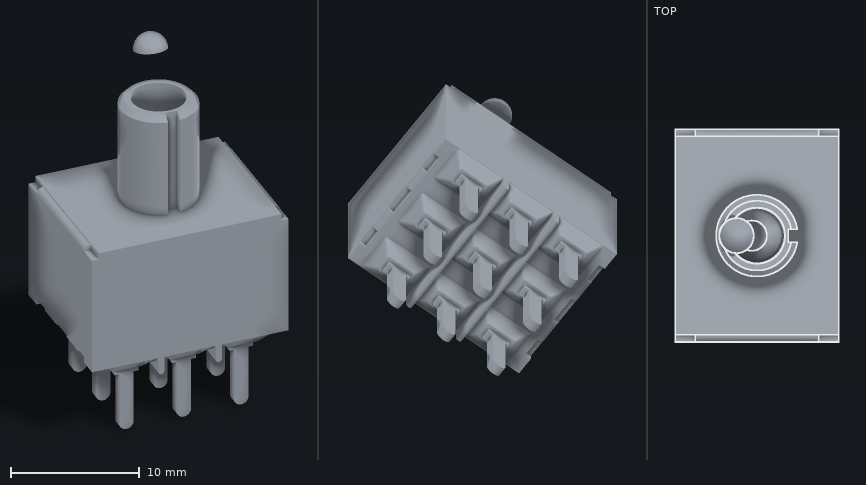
import cadquery as cq
import math

CASE_X = 12.7
CASE_Y = 16.5
CASE_TOP = 10.6
BRACKET_THICKNESS = 0.55
BLOCK_TOP = CASE_TOP - BRACKET_THICKNESS
PLATE_Y = CASE_Y - 2 * BRACKET_THICKNESS
LEG_WIDTH = 9.58
BEND_DROP = 0.1
TAB_CENTER_X = 2.15
TAB_WIDTH = 1.95

BUSHING_DIAMETER = 6.35
BUSHING_TOP = 19.45
BUSHING_CHAMFER = 0.45
BORE_DIAMETER = 4.35
KEYWAY_WIDTH = 1.0
KEYWAY_FLOOR_X = 2.45

LEVER_TILT = 12.4
BALL_DIAMETER = 4.3
BALL_CENTER_Z = 15.75
DISH_DIAMETER = 2.35
TIP_DIAMETER = 2.72
TIP_TOP = 24.33

TERMINALS_PER_SIDE = 3
PITCH_X = 4.7
PITCH_Y = 4.82
PIN_X = 0.8
PIN_Y = 1.2
PIN_LENGTH = 6.58
SHOULDER_Y = 2.0
SHOULDER_DEPTH = 1.5

MOUND_X = 3.2
MOUND_Y = 4.4
MOUND_HEIGHT = 1.0
MOUND_TAPER = 42
MOUND_CORNER = 0.3

FIN_THICKNESS = 0.5
FIN_DEPTH = 1.5


def box_between(x_size, y_size, z_low, z_high):
    """Box centred on the Z axis between two heights."""
    return cq.Workplane("XY").workplane(offset=z_low).rect(x_size, y_size).extrude(z_high - z_low)


def case_block():
    """Block with a recess across each Y face for the bracket legs."""
    block = box_between(CASE_X, CASE_Y, 0, BLOCK_TOP)
    for side in (-1, 1):
        recess = box_between(LEG_WIDTH, BRACKET_THICKNESS, 0, BLOCK_TOP)
        block = block.cut(recess.translate((0, side * (CASE_Y - BRACKET_THICKNESS) / 2, 0)))
    return block


def bracket():
    """Plate over the block and legs down its Y faces, each leg with two rounded lower tabs."""
    strip = box_between(LEG_WIDTH, CASE_Y, BRACKET_THICKNESS, CASE_TOP - BEND_DROP)
    strip = strip.edges("|X and >Z").fillet(BRACKET_THICKNESS)
    for side in (-1, 1):
        tab = box_between(TAB_WIDTH, CASE_Y, 0, BLOCK_TOP - BRACKET_THICKNESS)
        tab = tab.edges("|X and <Z").fillet(BRACKET_THICKNESS)
        strip = strip.union(tab.translate((side * TAB_CENTER_X, 0, 0)))
    plate = box_between(CASE_X, PLATE_Y, BLOCK_TOP, CASE_TOP)
    return strip.cut(box_between(LEG_WIDTH, PLATE_Y, 0, BLOCK_TOP)).union(plate)


def bushing():
    """Chamfered cylinder with a keyway down its +X side."""
    barrel = (
        cq.Workplane("XY")
        .workplane(offset=CASE_TOP)
        .circle(BUSHING_DIAMETER / 2)
        .extrude(BUSHING_TOP - CASE_TOP)
        .faces(">Z")
        .chamfer(BUSHING_CHAMFER)
    )
    keyway = box_between(BUSHING_DIAMETER, KEYWAY_WIDTH, CASE_TOP, BUSHING_TOP)
    return barrel.cut(keyway.translate((KEYWAY_FLOOR_X + BUSHING_DIAMETER / 2, 0, 0)))


def bore():
    """Blind bore that ends level with the centre of the ball."""
    depth = BUSHING_TOP - BALL_CENTER_Z
    return cq.Workplane("XY").workplane(offset=BALL_CENTER_Z).circle(BORE_DIAMETER / 2).extrude(depth)


def on_lever_axis(shape):
    """Move a shape modelled about the origin on to the tilted lever axis."""
    tilted = shape.rotate((0, 0, 0), (0, 1, 0), -LEVER_TILT)
    return tilted.translate((0, 0, BALL_CENTER_Z))


def lever_ball():
    """Ball with a shallow dish facing the lever tip, as deep below its rim as the ball rose above it."""
    ball_radius = BALL_DIAMETER / 2
    dish_radius = DISH_DIAMETER / 2
    rim_height = math.sqrt(ball_radius**2 - dish_radius**2)
    ball = cq.Workplane("XY").sphere(ball_radius)
    dish = ball.translate((0, 0, 2 * rim_height))
    return on_lever_axis(ball.cut(dish))


def resin_mound():
    """Rectangular mound that narrows downwards, with its sloping corner edges rounded."""
    mound = cq.Workplane("XY").rect(MOUND_X, MOUND_Y).extrude(-MOUND_HEIGHT, taper=MOUND_TAPER)
    return mound.edges("not(|X or |Y)").fillet(MOUND_CORNER)


def terminal():
    """Mound, shoulder and flat pin with a fully rounded end."""
    shoulder = box_between(PIN_X, SHOULDER_Y, -SHOULDER_DEPTH, 0)
    tip_radius = PIN_Y / 2
    tip_start = -PIN_LENGTH + tip_radius
    pin = box_between(PIN_X, PIN_Y, tip_start, 0)
    tip = cq.Workplane("YZ").center(0, tip_start).circle(tip_radius).extrude(PIN_X / 2, both=True)
    return resin_mound().union(shoulder).union(pin).union(tip)


def barrier_fin():
    """Fin along X with a fully rounded lower edge."""
    edge_radius = FIN_THICKNESS / 2
    edge_z = -FIN_DEPTH + edge_radius
    edge = cq.Workplane("YZ").center(0, edge_z).circle(edge_radius).extrude(CASE_X / 2, both=True)
    return box_between(CASE_X, FIN_THICKNESS, edge_z, 0).union(edge)


def block_with_terminals():
    """Case block with the terminal grid and the fins on its underside."""
    block = case_block()
    middle = (TERMINALS_PER_SIDE - 1) / 2
    for column in range(TERMINALS_PER_SIDE):
        for row in range(TERMINALS_PER_SIDE):
            place = ((column - middle) * PITCH_X, (row - middle) * PITCH_Y, 0)
            block = block.union(terminal().translate(place))
    for side in (-1, 1):
        block = block.union(barrier_fin().translate((0, side * PITCH_Y / 2, 0)))
    return block


def switch_body():
    """Block, bracket, bushing and ball as one solid; clean=False keeps the seams round the bracket."""
    body = block_with_terminals().union(bracket(), clean=False).union(bushing(), clean=False)
    return body.cut(bore(), clean=False).union(lever_ball(), clean=False)


def lever_tip():
    """Hemisphere whose flat face is square to the lever axis."""
    center_rise = TIP_TOP - TIP_DIAMETER / 2 - BALL_CENTER_Z
    axis_distance = center_rise / math.cos(math.radians(LEVER_TILT))
    dome = cq.Workplane("XY").sphere(TIP_DIAMETER / 2, angle1=0)
    return on_lever_axis(dome.translate((0, 0, axis_distance)))


result = cq.Compound.makeCompound([switch_body().val(), lever_tip().val()])